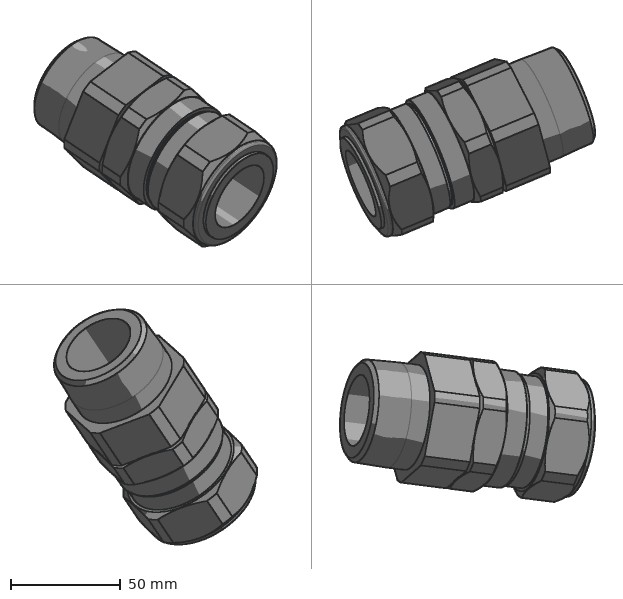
import cadquery as cq
import math


across_flats = 55.0
corner_radius = 1.1 * across_flats / 2
nut_chamfer_angle = 30.0
outer_chamfer_angle = 45.0
chamfer_root_radius = 27.25

taper_end = 17.4
body_start = 26.5
body_end = 48.6
middle_nut_end = 63.3
collar_end = 73.0
groove_end = 73.5
sleeve_start = 74.8
end_nut_start = 83.6
end_nut_end = 104.2
washer_round_start = 105.2
washer_end = 106.3
overall_length = 107.9

bore_radius = 16.35
spigot_radius = 24.22
spigot_taper = 1 / 32
tip_chamfer = 1.85
collar_radius = 26.9
groove_radius = 25.0
sleeve_radius = 25.8
washer_radius = 27.3
tail_radius = 22.55


def cylinder(start, end, radius):
    return cq.Workplane("YZ", origin=(start, 0, 0)).circle(radius).extrude(end - start)


def revolved(profile):
    """Turn a closed (x, radius) outline about the X axis."""
    return cq.Workplane("XY").polyline(profile).close().revolve(360, (0, 0, 0), (1, 0, 0))


def hexagon(start, end):
    """Hexagonal prism with flats facing +Z and -Z and its corners rounded about X."""
    across_corners = across_flats / math.cos(math.pi / 6)
    prism = cq.Workplane("YZ", origin=(start, 0, 0)).polygon(6, across_corners).extrude(end - start)
    return prism.intersect(cylinder(start, end, corner_radius))


def nut(start, end, end_chamfer_angle):
    """Hexagon with conical chamfers on both ends."""
    chamfer_depth = corner_radius - chamfer_root_radius
    start_length = chamfer_depth * math.tan(math.radians(nut_chamfer_angle))
    end_length = chamfer_depth * math.tan(math.radians(end_chamfer_angle))
    envelope = revolved([
        (start, 0),
        (start, chamfer_root_radius),
        (start + start_length, corner_radius),
        (end - end_length, corner_radius),
        (end, chamfer_root_radius),
        (end, 0),
    ])
    return hexagon(start, end).intersect(envelope)


def threaded_spigot():
    """Tapered then parallel spigot with a chamfered tip."""
    chamfer_radius = spigot_radius - spigot_taper * (taper_end - tip_chamfer)
    return revolved([
        (0, 0),
        (0, chamfer_radius - tip_chamfer),
        (tip_chamfer, chamfer_radius),
        (taper_end, spigot_radius),
        (body_start, spigot_radius),
        (body_start, 0),
    ])


def collar_and_sleeve():
    """Collar, narrow groove and sleeve between the two nuts."""
    return revolved([
        (middle_nut_end, 0),
        (middle_nut_end, collar_radius),
        (collar_end, collar_radius),
        (collar_end, groove_radius),
        (groove_end, groove_radius),
        (sleeve_start, sleeve_radius),
        (end_nut_start, sleeve_radius),
        (end_nut_start, 0),
    ])


def rounded_washer():
    """Washer behind the end nut, its outer rim rounded into the far face."""
    washer = cylinder(end_nut_end, washer_end, washer_radius)
    return washer.faces(">X").edges().fillet(washer_end - washer_round_start)


body = threaded_spigot()
body = body.union(hexagon(body_start, body_end))
body = body.union(nut(body_end, middle_nut_end, nut_chamfer_angle))
body = body.union(collar_and_sleeve())
body = body.union(nut(end_nut_start, end_nut_end, outer_chamfer_angle))
body = body.union(rounded_washer())
body = body.union(cylinder(washer_end, overall_length, tail_radius))

result = body.cut(cylinder(0, overall_length, bore_radius))